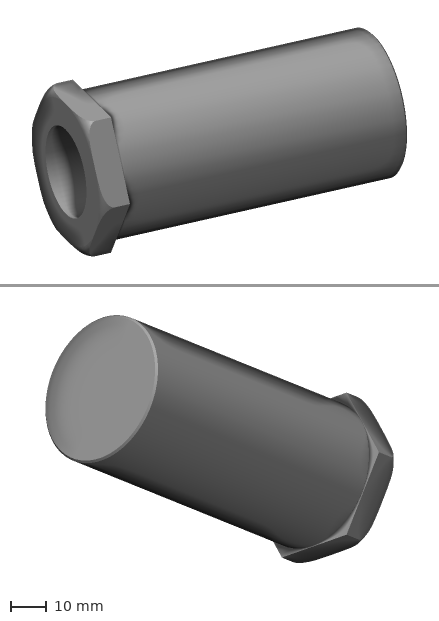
import cadquery as cq
import math

total_length = 95.8
head_thickness = 8.0
head_across_flats = 43.0
head_across_corners = head_across_flats / math.cos(math.pi / 6)
head_corner_round = 3.35

barrel_diameter = 43.2
barrel_length = total_length - head_thickness
barrel_chamfer = 0.6

bore_diameter = 26.7
bore_depth = 16.8

head_face_y = -total_length / 2
head_back_y = head_face_y + head_thickness


def disc_along_y(diameter, start_y, length):
    """Solid cylinder on the Y axis, extending toward +Y from start_y."""
    plane = cq.Workplane("XZ", origin=(0, start_y, 0))
    return plane.circle(diameter / 2).extrude(-length)


def make_head():
    """Hexagon with corners on the X axis, rounded off at the front face."""
    hexagon = (
        cq.Workplane("XZ", origin=(0, head_face_y, 0))
        .polygon(6, head_across_corners)
        .extrude(-head_thickness)
    )
    rounded_disc = (
        disc_along_y(head_across_corners, head_face_y, head_thickness)
        .faces("<Y")
        .edges()
        .fillet(head_corner_round)
    )
    return hexagon.intersect(rounded_disc)


def make_barrel():
    """Round body behind the head, chamfered at both ends."""
    barrel = disc_along_y(barrel_diameter, head_back_y, barrel_length)
    return barrel.faces("<Y or >Y").edges().chamfer(barrel_chamfer)


bore = disc_along_y(bore_diameter, head_face_y, bore_depth)

result = make_head().union(make_barrel()).cut(bore)